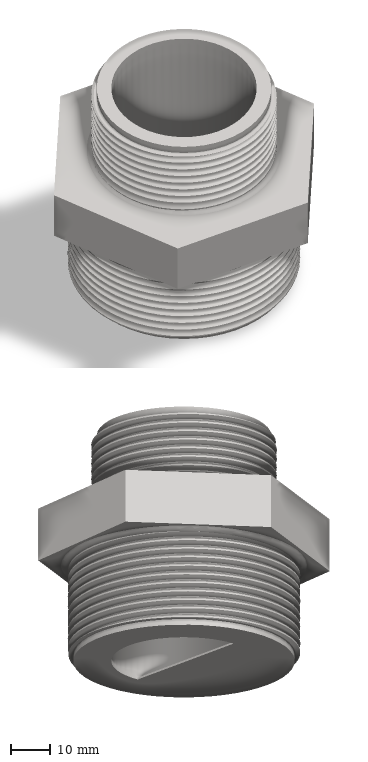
import cadquery as cq
import math


TOTAL_HEIGHT = 61.2
HEX_BOTTOM = 25.8
HEX_TOP = 39.85

HEX_ACROSS_FLATS = 65.0
HEX_TWIST = -0.34

BORE_DIAMETER = 37.2
WEB_THICKNESS = 0.5
WEB_OVERLAP = 0.5
WEB_OFFSET = 0.57
WEB_ANGLE = -25.5

PITCH = 25.4 / 11
ROOT_FLAT = 0.3
CREST_FLAT = 0.4
RIDGE_EMBED = 0.15

LOWER_ROOT_DIAMETER = 56.66
LOWER_CREST_DIAMETER = 59.5
LOWER_THREAD_START = 1.55
LOWER_FIRST_CREST = 2.26
LOWER_TURNS = 11.5

UPPER_ROOT_DIAMETER = 44.62
UPPER_CREST_DIAMETER = 47.5
UPPER_THREAD_END = 59.1
UPPER_LAST_CREST = 56.98
UPPER_TURNS_BELOW = 8
UPPER_TURNS = 10

LOWER_COLLAR_DIAMETER = 63.0
LOWER_COLLAR_HEIGHT = 1.0
UPPER_COLLAR_DIAMETER = 49.8
UPPER_COLLAR_HEIGHT = 0.5


def cylinder(diameter, bottom, top):
    """Solid cylinder on the Z axis between two heights."""
    return cq.Workplane("XY").workplane(offset=bottom).circle(diameter / 2).extrude(top - bottom)


def hex_grip():
    """Hexagonal prism with vertices near +Y and -Y."""
    across_corners = HEX_ACROSS_FLATS / math.cos(math.radians(30))
    prism = cq.Workplane("XY").workplane(offset=HEX_BOTTOM).polygon(6, across_corners)
    return prism.extrude(HEX_TOP - HEX_BOTTOM).rotate((0, 0, 0), (0, 0, 1), 30 + HEX_TWIST)


def thread_ridge(root_diameter, crest_diameter, start_z, turns):
    """One helical ridge whose centre line crosses the +X side at start_z."""
    root_radius = root_diameter / 2
    depth = crest_diameter / 2 - root_radius
    half_crest = CREST_FLAT / 2
    half_root = (PITCH - ROOT_FLAT) / 2
    helix = cq.Wire.makeHelix(PITCH, PITCH * turns, root_radius).translate(cq.Vector(0, 0, start_z))
    flank_run = (half_root - half_crest) / depth
    half_base = half_root + RIDGE_EMBED * flank_run
    base_radius = root_radius - RIDGE_EMBED
    section = (
        cq.Workplane("XZ")
        .moveTo(base_radius, start_z - half_base)
        .lineTo(root_radius + depth, start_z - half_crest)
        .lineTo(root_radius + depth, start_z + half_crest)
        .lineTo(base_radius, start_z + half_base)
        .close()
    )
    return section.sweep(cq.Workplane(obj=helix), isFrenet=True)


def lower_thread():
    """Ridge of the 2" thread, cut square near the lower end face."""
    start_z = LOWER_FIRST_CREST - PITCH
    ridge = thread_ridge(LOWER_ROOT_DIAMETER, LOWER_CREST_DIAMETER, start_z, LOWER_TURNS)
    trim_bottom = start_z - PITCH
    return ridge.cut(cylinder(LOWER_COLLAR_DIAMETER, trim_bottom, LOWER_THREAD_START))


def upper_thread():
    """Ridge of the 1 1/2" thread, cut square near the upper end face."""
    start_z = UPPER_LAST_CREST - UPPER_TURNS_BELOW * PITCH
    ridge = thread_ridge(UPPER_ROOT_DIAMETER, UPPER_CREST_DIAMETER, start_z, UPPER_TURNS)
    trim_top = start_z + (UPPER_TURNS + 1) * PITCH
    return ridge.cut(cylinder(UPPER_COLLAR_DIAMETER, UPPER_THREAD_END, trim_top))


def collar(outer_diameter, root_diameter, face_z, height):
    """Domed ring on a grip face; a negative height points it downward."""
    outer = outer_diameter / 2
    root = root_diameter / 2
    diagonal = math.sqrt(0.5)
    crown = (root + (outer - root) * diagonal, face_z + height * diagonal)
    profile = (
        cq.Workplane("XZ")
        .moveTo(0, face_z)
        .lineTo(outer, face_z)
        .threePointArc(crown, (root, face_z + height))
        .lineTo(0, face_z + height)
        .close()
    )
    return profile.revolve(360, (0, 0, 0), (0, 1, 0))


def half_web():
    """Thin half-disc across the lower end of the bore, on the +Y side."""
    disc = cylinder(BORE_DIAMETER + 2 * WEB_OVERLAP, 0, WEB_THICKNESS)
    keep = (
        cq.Workplane("XY")
        .center(0, WEB_OFFSET + BORE_DIAMETER / 2)
        .rect(2 * BORE_DIAMETER, BORE_DIAMETER)
        .extrude(WEB_THICKNESS)
        .rotate((0, 0, 0), (0, 0, 1), WEB_ANGLE)
    )
    return disc.intersect(keep)


grip = hex_grip()
grip = grip.union(collar(LOWER_COLLAR_DIAMETER, LOWER_ROOT_DIAMETER, HEX_BOTTOM, -LOWER_COLLAR_HEIGHT))
grip = grip.union(collar(UPPER_COLLAR_DIAMETER, UPPER_ROOT_DIAMETER, HEX_TOP, UPPER_COLLAR_HEIGHT))

grip_middle = (HEX_BOTTOM + HEX_TOP) / 2
lower_spigot = cylinder(LOWER_ROOT_DIAMETER, 0, grip_middle).union(lower_thread())
upper_spigot = cylinder(UPPER_ROOT_DIAMETER, grip_middle, TOTAL_HEIGHT).union(upper_thread())

bored = grip.union(lower_spigot).union(upper_spigot).cut(cylinder(BORE_DIAMETER, 0, TOTAL_HEIGHT))
result = bored.union(half_web())